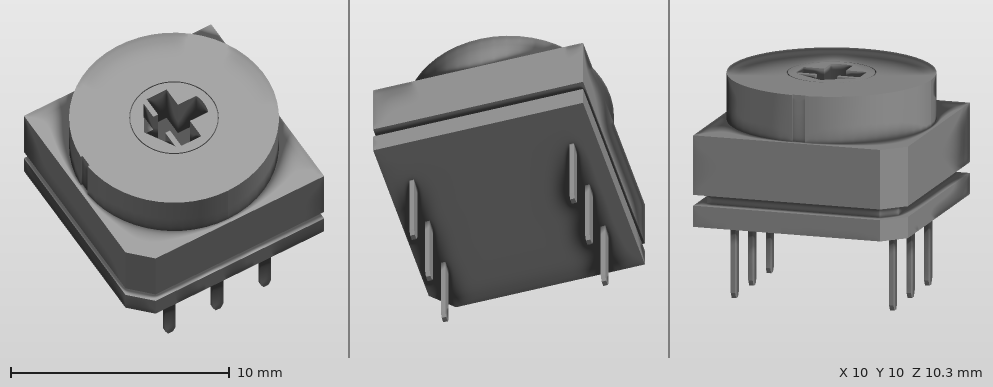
import cadquery as cq
import math


body_width = 10.0
corner_cut = 1.0
base_height = 1.0
neck_height = 0.5
neck_inset = 0.5
body_height = 2.8

knob_diameter = 9.6
knob_height = 2.2
notch_width = 0.62
notch_depth = 0.1

ring_outer_diameter = 4.1
ring_inner_diameter = 4.0
ring_depth = 0.1
slot_width = 1.06
slot_length = 3.07
socket_radius = 1.6
cross_depth = knob_height
arrow_half_width = 1.41
arrow_slope = 30
arrow_depth = 1.0

pin_thickness = 0.22
pin_width = 0.55
pin_row_spacing = 7.62
pin_pitch = 2.54
pins_per_row = 3
tip_height = 0.27
tip_width = 0.27
total_height = 10.3

neck_bottom = base_height
body_bottom = neck_bottom + neck_height
body_top = body_bottom + body_height
knob_top = body_top + knob_height
pin_length = total_height - knob_top


def housing_layer(bottom, height, inset=0):
    """Square layer with its +X -Y corner cut off, drawn in evenly by the inset."""
    half = body_width / 2
    outline = (
        cq.Workplane("XY", origin=(0, 0, bottom))
        .moveTo(-half, -half)
        .lineTo(half - corner_cut, -half)
        .lineTo(half, -half + corner_cut)
        .lineTo(half, half)
        .lineTo(-half, half)
        .close()
    )
    if inset:
        outline = outline.offset2D(-inset)
    return outline.extrude(height)


def knob():
    """Round knob with a shallow full-height index notch on its -Y side."""
    disc = cq.Workplane("XY", origin=(0, 0, body_top)).circle(knob_diameter / 2).extrude(knob_height)
    notch = (
        cq.Workplane("XY", origin=(0, -knob_diameter / 2, body_top))
        .rect(notch_width, 2 * notch_depth)
        .extrude(knob_height)
    )
    return disc.cut(notch)


def ring_groove():
    """Thin circular groove around the driver socket."""
    return (
        cq.Workplane("XY", origin=(0, 0, knob_top))
        .circle(ring_outer_diameter / 2)
        .circle(ring_inner_diameter / 2)
        .extrude(-ring_depth)
    )


def driver_socket():
    """Deep cross whose +Y arm ends in an arc, with a shallower arrowhead on its -Y arm."""
    top = cq.Workplane("XY", origin=(0, 0, knob_top))
    half_slot = slot_width / 2
    arrow_rise = math.tan(math.radians(arrow_slope))
    arrow_base = -socket_radius + arrow_half_width * arrow_rise
    arm_end = math.sqrt(socket_radius**2 - half_slot**2)
    arm_foot = -socket_radius + half_slot * arrow_rise

    cross_bar = top.rect(slot_length, slot_width).extrude(-cross_depth)
    long_arm = (
        top.moveTo(-half_slot, arm_foot)
        .lineTo(0, -socket_radius)
        .lineTo(half_slot, arm_foot)
        .lineTo(half_slot, arm_end)
        .threePointArc((0, socket_radius), (-half_slot, arm_end))
        .close()
        .extrude(-cross_depth)
    )
    arrowhead = (
        top.moveTo(0, -socket_radius)
        .lineTo(arrow_half_width, arrow_base)
        .lineTo(-arrow_half_width, arrow_base)
        .close()
        .extrude(-arrow_depth)
    )
    return cross_bar.union(long_arm).union(arrowhead)


def pin(x, y):
    """Flat pin hanging from the base, its wide sides tapering to a blunt tip."""
    shoulder = tip_height - pin_length
    return (
        cq.Workplane("YZ", origin=(x - pin_thickness / 2, y, 0))
        .moveTo(-pin_width / 2, 0)
        .lineTo(-pin_width / 2, shoulder)
        .lineTo(-tip_width / 2, -pin_length)
        .lineTo(tip_width / 2, -pin_length)
        .lineTo(pin_width / 2, shoulder)
        .lineTo(pin_width / 2, 0)
        .close()
        .extrude(pin_thickness)
    )


result = (
    housing_layer(0, base_height)
    .union(housing_layer(neck_bottom, neck_height, neck_inset))
    .union(housing_layer(body_bottom, body_height))
    .union(knob())
    .cut(ring_groove())
    .cut(driver_socket())
)

for side in (-1, 1):
    for index in range(pins_per_row):
        pin_y = (index - (pins_per_row - 1) / 2) * pin_pitch
        result = result.union(pin(side * pin_row_spacing / 2, pin_y))